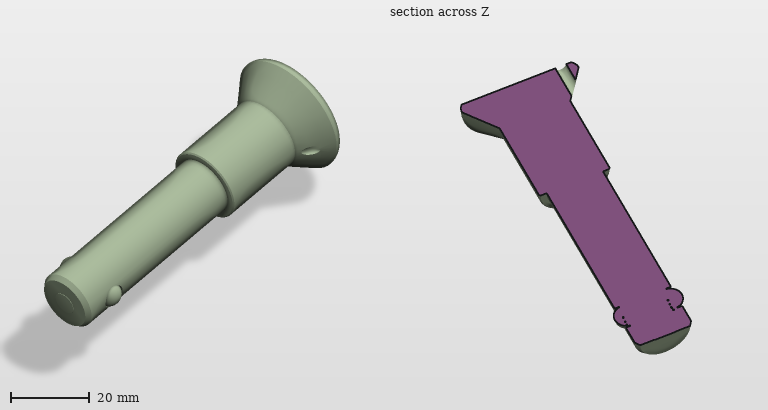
import cadquery as cq

length = 87.9
tip_y = -length / 2
head_y = length / 2

head_radius = 33.0 / 2
rim_height = 2.0
land_height = 0.35
rim_inset = 1.05
rim_mid_inset = 0.3
head_height = 11.0

collar_radius = 20.0 / 2
collar_end_y = head_y - 34.55
collar_chamfer = 0.35
shank_radius = 16.0 / 2
tip_inset = 1.0
tip_chamfer_length = 1.4

spindle_radius = 6.0 / 2
spindle_projection = 0.1
shank_end_y = tip_y + spindle_projection

ball_radius = 6.5 / 2
ball_y = tip_y + 10.0
ball_reach = 9.5
ball_center_x = ball_reach - ball_radius

lanyard_diameter = 3.0
lanyard_x = 12.5


def make_body():
    """Head, collar, shank and spindle revolved about the Y axis."""
    profile = (
        cq.Workplane("XY")
        .moveTo(0, tip_y)
        .lineTo(spindle_radius, tip_y)
        .lineTo(spindle_radius, shank_end_y)
        .lineTo(shank_radius - tip_inset, shank_end_y)
        .lineTo(shank_radius, tip_y + tip_chamfer_length)
        .lineTo(shank_radius, collar_end_y)
        .lineTo(collar_radius - collar_chamfer, collar_end_y)
        .lineTo(collar_radius, collar_end_y + collar_chamfer)
        .lineTo(collar_radius, head_y - head_height)
        .lineTo(head_radius, head_y - rim_height - land_height)
        .lineTo(head_radius, head_y - rim_height)
        .threePointArc(
            (head_radius - rim_mid_inset, head_y - rim_height / 2),
            (head_radius - rim_inset, head_y),
        )
        .lineTo(0, head_y)
        .close()
    )
    return profile.revolve(360, (0, 0, 0), (0, 1, 0))


def add_locking_ball(body, side):
    """Seat a ball in a radial bore of the same diameter; side is +1 or -1 along X."""
    center = cq.Vector(side * ball_center_x, ball_y, 0)
    bore = cq.Solid.makeCylinder(
        ball_radius, shank_radius, center, cq.Vector(side, 0, 0)
    )
    ball = cq.Workplane("XY").sphere(ball_radius).translate(center)
    return body.cut(cq.Workplane(obj=bore)).union(ball)


def make_lanyard_hole():
    return (
        cq.Workplane("XZ", origin=(lanyard_x, head_y, 0))
        .circle(lanyard_diameter / 2)
        .extrude(head_height)
    )


result = make_body()
for side in (-1, 1):
    result = add_locking_ball(result, side)
result = result.cut(make_lanyard_hole())